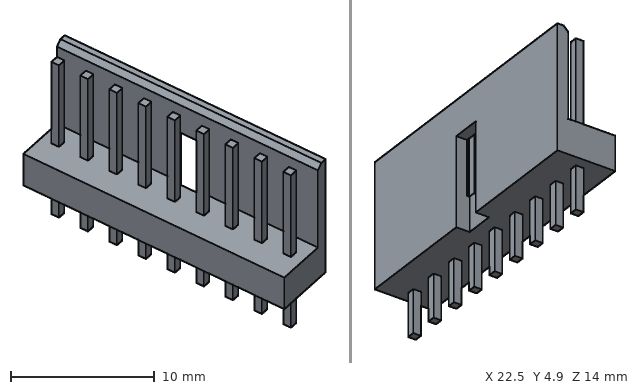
import cadquery as cq

length = 22.5
depth = 4.9
base_height = 2.9
housing_height = 10.4
wall_thickness = 0.92
wall_chamfer = 0.4

pin_count = 9
pin_pitch = length / pin_count
pin_width = 0.65
pin_tail = 3.6
pin_front_offset = 2.38

window_width = 2.38
window_top = 7.45
notch_into_base = 0.2

back_y = depth / 2
front_y = -depth / 2
wall_front_y = back_y - wall_thickness
pin_y = front_y + pin_front_offset


def make_housing():
    """Base block with a tall rear wall, bevelled along its top front edge."""
    profile = [
        (front_y, 0),
        (back_y, 0),
        (back_y, housing_height),
        (wall_front_y + wall_chamfer, housing_height),
        (wall_front_y, housing_height - wall_chamfer),
        (wall_front_y, base_height),
        (front_y, base_height),
    ]
    return cq.Workplane("YZ").polyline(profile).close().extrude(length / 2, both=True)


def make_window():
    """Cutter open at the back and bottom, reaching slightly in front of the wall."""
    notch_depth = wall_thickness + notch_into_base
    return (
        cq.Workplane("XY")
        .center(0, back_y - notch_depth / 2)
        .rect(window_width, notch_depth)
        .extrude(window_top)
    )


def make_pins():
    """Row of evenly spaced pins centred along the housing."""
    return (
        cq.Workplane("XY", origin=(0, pin_y, -pin_tail))
        .rarray(pin_pitch, 0.22, pin_count, 1)
        .rect(pin_width, pin_width)
        .extrude(pin_tail + housing_height)
    )


result = make_housing().cut(make_window()).union(make_pins())